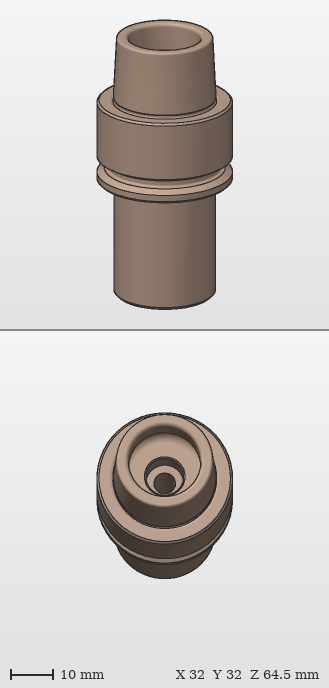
import cadquery as cq
import math

total_height = 64.5
shoulder_z = 48.5
flange_bottom_z = 28.45
neck_height = 0.8

flange_dia = 32.0
shank_dia = 24.0
taper_top_dia = 22.7
taper_base_dia = 24.25
neck_dia = 24.0
taper_foot_height = 0.2
relief_dia = 25.75
relief_depth = 0.2
neck_fillet = 0.25

flange_chamfer = 0.5
shank_chamfer = 0.8
shank_fillet = 1.0
rim_outer_fillet = 0.6
rim_inner_fillet = 0.9

groove_dia = 26.5
groove_center_z = 32.5
groove_slot_width = 2.0
groove_mouth_width = 4.0
groove_flare_angle = 30.0
groove_corner_fillet = 0.5

mouth_dia = 17.0
mouth_depth = 6.6
chamber_dia = 20.5
chamber_depth = 14.6
chamber_floor_fillet = 2.0
clamp_face_angle = 30.0
thread_bore_dia = 8.9
thread_bore_length = 6.45
thread_bore_chamfer = 0.3
through_dia = 5.0


def revolve_outline(sketch):
    """Close a radius/height outline and turn it around Z."""
    return sketch.close().revolve(360, (0, 0, 0), (0, 1, 0))


def disc(diameter, bottom_z, top_z):
    """Cylinder on the Z axis between two heights."""
    return cq.Workplane("XY", origin=(0, 0, bottom_z)).circle(diameter / 2).extrude(top_z - bottom_z)


def concave_ring(radius, face_z, size, away):
    """Quarter-round fillet between a cylinder and a flat face; away is +1 above the face, -1 below."""
    arc_z = face_z + away * size
    arc_inset = size * (1 - math.sqrt(0.5))
    return revolve_outline(
        cq.Workplane("XZ")
        .moveTo(0, arc_z)
        .lineTo(radius, arc_z)
        .threePointArc((radius + arc_inset, face_z + away * arc_inset), (radius + size, face_z))
        .lineTo(0, face_z)
    )


def make_shank():
    """Plain cylinder bevelled at its bottom end and blended into the flange underside."""
    shank = disc(shank_dia, 0, flange_bottom_z).faces("<Z").edges().chamfer(shank_chamfer)
    return shank.union(concave_ring(shank_dia / 2, flange_bottom_z, shank_fillet, -1))


def make_flange():
    """Flange cylinder with both outer edges bevelled."""
    flange = disc(flange_dia, flange_bottom_z, shoulder_z)
    return flange.faces("<Z or >Z").edges().chamfer(flange_chamfer)


def make_groove():
    """Ring removed from the flange, with rounded corners at its floor."""
    floor_radius = groove_dia / 2
    rim_radius = flange_dia / 2
    slot_half = groove_slot_width / 2
    mouth_half = groove_mouth_width / 2
    flare_run = (mouth_half - slot_half) / math.tan(math.radians(groove_flare_angle))
    flare_radius = rim_radius - flare_run
    fillet = groove_corner_fillet
    arc_inset = fillet * (1 - math.sqrt(0.5))
    return revolve_outline(
        cq.Workplane("XZ", origin=(0, 0, groove_center_z))
        .moveTo(rim_radius, -mouth_half)
        .lineTo(flare_radius, -slot_half)
        .lineTo(floor_radius + fillet, -slot_half)
        .threePointArc(
            (floor_radius + arc_inset, -slot_half + arc_inset),
            (floor_radius, -slot_half + fillet),
        )
        .lineTo(floor_radius, slot_half - fillet)
        .threePointArc(
            (floor_radius + arc_inset, slot_half - arc_inset),
            (floor_radius + fillet, slot_half),
        )
        .lineTo(flare_radius, slot_half)
        .lineTo(rim_radius, mouth_half)
    )


def make_relief():
    """Shallow conical sink in the shoulder, with room at its bottom for the neck fillet."""
    floor_z = shoulder_z - relief_depth
    return revolve_outline(
        cq.Workplane("XZ")
        .moveTo(neck_dia / 2, shoulder_z)
        .lineTo(neck_dia / 2, floor_z)
        .lineTo(neck_dia / 2 + neck_fillet, floor_z)
        .lineTo(relief_dia / 2, shoulder_z)
    )


def make_taper():
    """Neck and taper, with the outer rim rounded."""
    taper_base_z = shoulder_z + neck_height
    taper = revolve_outline(
        cq.Workplane("XZ")
        .moveTo(0, shoulder_z)
        .lineTo(neck_dia / 2, shoulder_z)
        .lineTo(neck_dia / 2, taper_base_z - taper_foot_height)
        .lineTo(taper_base_dia / 2, taper_base_z)
        .lineTo(taper_top_dia / 2, total_height)
        .lineTo(0, total_height)
    )
    return taper.faces(">Z").edges().fillet(rim_outer_fillet)


def make_chamber():
    """Undercut chamber below the mouth, with a sloped ceiling and a rounded floor edge."""
    mouth_radius = mouth_dia / 2
    chamber_radius = chamber_dia / 2
    ceiling_z = total_height - mouth_depth
    floor_z = total_height - chamber_depth
    ceiling_drop = (chamber_radius - mouth_radius) * math.tan(math.radians(clamp_face_angle))
    fillet = chamber_floor_fillet
    arc_inset = fillet * (1 - math.sqrt(0.5))
    return revolve_outline(
        cq.Workplane("XZ")
        .moveTo(0, floor_z)
        .lineTo(chamber_radius - fillet, floor_z)
        .threePointArc(
            (chamber_radius - arc_inset, floor_z + arc_inset),
            (chamber_radius, floor_z + fillet),
        )
        .lineTo(chamber_radius, ceiling_z - ceiling_drop)
        .lineTo(mouth_radius, ceiling_z)
        .lineTo(0, ceiling_z)
    )


def make_bore():
    """Stepped cavity running through the whole part."""
    floor_z = total_height - chamber_depth
    mouth = disc(mouth_dia, total_height - mouth_depth, total_height)
    thread_bore = disc(thread_bore_dia, floor_z - thread_bore_length, floor_z)
    entry = (
        cq.Workplane("XY", origin=(0, 0, floor_z))
        .circle(thread_bore_dia / 2 + thread_bore_chamfer)
        .extrude(-thread_bore_chamfer, taper=45)
    )
    through = disc(through_dia, 0, floor_z)
    return mouth.union(make_chamber()).union(thread_bore).union(entry).union(through)


body = make_shank().union(make_flange()).union(make_taper())
body = body.cut(make_groove()).cut(make_relief())
body = body.union(concave_ring(neck_dia / 2, shoulder_z - relief_depth, neck_fillet, 1))
body = body.cut(make_bore())

inner_rim = cq.selectors.RadiusNthSelector(0)
result = body.faces(">Z").edges(inner_rim).fillet(rim_inner_fillet)